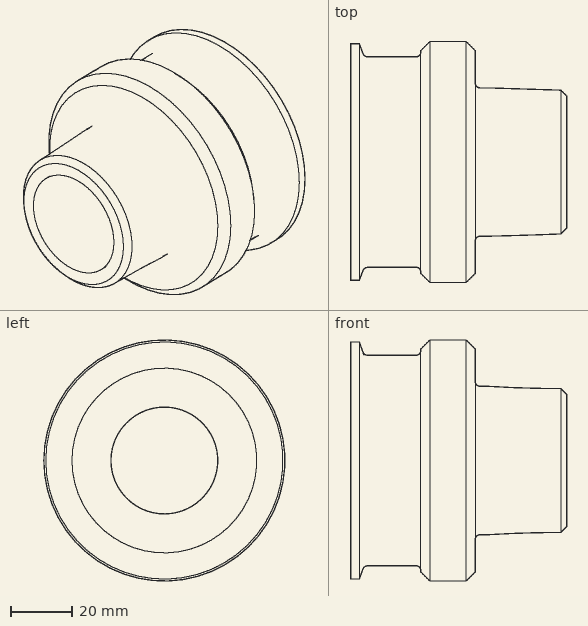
import cadquery as cq
import math


length = 70.64
bore_radius = 34.8 / 2

flange_radius = 77.39 / 2
flange_rim_width = 2.9
flange_back_angle = 20.0

neck_radius = 68.78 / 2
neck_fillet = 1.5

collar_radius = 78.74 / 2
collar_front = 22.9
collar_back = 40.75
collar_chamfer = 3.0

pipe_root_radius = 48.53 / 2
pipe_root_fillet = 1.5
pipe_straight_end = 44.9
pipe_taper = 1 / 32
pipe_end_chamfer = 2.0

mouth_radius = 30.15
mouth_depth = 21.1
mouth_blend_radius = 6.35

groove_centre_radius = 35.33
groove_half_width = 1.85
groove_radius = 1.1
groove_lip_radius = 0.6
groove_wall_angle = 20.0


def revolve_about_x(profile):
    """Turn a closed profile, drawn with x along the axis and y as radius."""
    return profile.close().revolve(360, (0, 0, 0), (1, 0, 0))


def make_outer_body():
    slope = math.radians(flange_back_angle)
    flange_foot_x = flange_rim_width + (flange_radius - neck_radius) * math.tan(slope)
    pipe_end_x = length - pipe_end_chamfer
    pipe_end_radius = pipe_root_radius - (pipe_end_x - pipe_straight_end) * pipe_taper
    profile = (
        cq.Workplane("XY")
        .moveTo(0, 0)
        .lineTo(0, flange_radius)
        .lineTo(flange_rim_width, flange_radius)
        .lineTo(flange_foot_x, neck_radius)
        .lineTo(collar_front, neck_radius)
        .lineTo(collar_front, collar_radius - collar_chamfer)
        .lineTo(collar_front + collar_chamfer, collar_radius)
        .lineTo(collar_back - collar_chamfer, collar_radius)
        .lineTo(collar_back, collar_radius - collar_chamfer)
        .lineTo(collar_back, pipe_root_radius)
        .lineTo(pipe_straight_end, pipe_root_radius)
        .lineTo(pipe_end_x, pipe_end_radius)
        .lineTo(length, pipe_end_radius - pipe_end_chamfer)
        .lineTo(length, 0)
    )
    body = revolve_about_x(profile)
    body = fillet_corner(body, flange_foot_x, neck_radius, neck_fillet)
    body = fillet_corner(body, collar_front, neck_radius, neck_fillet)
    return fillet_corner(body, collar_back, pipe_root_radius, pipe_root_fillet)


def fillet_corner(body, x, radius, fillet_radius):
    """Fillet the circular edge of the given radius that lies at x."""
    margin = 0.01
    box = cq.selectors.BoxSelector(
        (x - margin, -radius - margin, -radius - margin),
        (x + margin, radius + margin, radius + margin),
        boundingbox=True,
    )
    edges = body.edges(box).edges(cq.selectors.RadiusNthSelector(-1))
    return edges.fillet(fillet_radius)


def make_bore():
    profile = (
        cq.Workplane("XY")
        .moveTo(0, 0)
        .lineTo(0, mouth_radius)
        .lineTo(mouth_depth, bore_radius)
        .lineTo(length, bore_radius)
        .lineTo(length, 0)
    )
    bore = revolve_about_x(profile)
    return fillet_corner(bore, mouth_depth, bore_radius, mouth_blend_radius)


def make_gasket_groove():
    slope = math.radians(groove_wall_angle)
    bottom_offset = groove_radius * math.cos(slope)
    wall_offset = groove_half_width - groove_lip_radius * math.cos(slope)
    wall_depth = groove_lip_radius * (1 - math.sin(slope))
    bottom_depth = wall_depth + (wall_offset - bottom_offset) / math.tan(slope)
    full_depth = bottom_depth + groove_radius * (1 - math.sin(slope))

    half_turn = (math.pi / 2 - slope) / 2
    lip_depth = groove_lip_radius * (1 - math.cos(half_turn))
    lip_offset = groove_half_width - groove_lip_radius * math.sin(half_turn)

    inner_to_outer = (
        cq.Workplane("XY")
        .moveTo(0, groove_centre_radius - groove_half_width)
        .threePointArc(
            (lip_depth, groove_centre_radius - lip_offset),
            (wall_depth, groove_centre_radius - wall_offset),
        )
        .lineTo(bottom_depth, groove_centre_radius - bottom_offset)
        .threePointArc(
            (full_depth, groove_centre_radius),
            (bottom_depth, groove_centre_radius + bottom_offset),
        )
        .lineTo(wall_depth, groove_centre_radius + wall_offset)
        .threePointArc(
            (lip_depth, groove_centre_radius + lip_offset),
            (0, groove_centre_radius + groove_half_width),
        )
    )
    return revolve_about_x(inner_to_outer)


result = make_outer_body().cut(make_bore()).cut(make_gasket_groove())